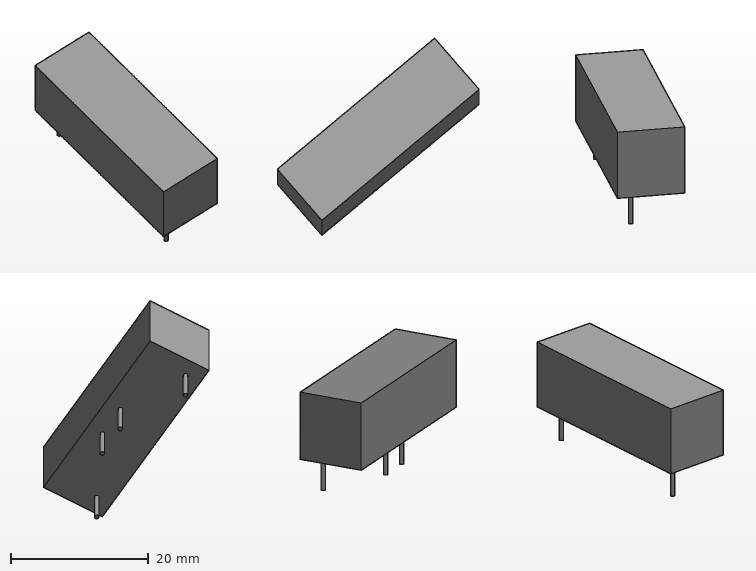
import cadquery as cq

housing_length = 30.0
housing_width = 10.0
housing_height = 10.4

pin_diameter = 0.65
pin_length = 5.1
inner_pin_offset = 2.52
outer_pin_offset = 12.48
pin_row_offset = 2.52

pin_places = [
    (-outer_pin_offset, -pin_row_offset),
    (outer_pin_offset, -pin_row_offset),
    (-inner_pin_offset, pin_row_offset),
    (inner_pin_offset, pin_row_offset),
]


def make_housing():
    return cq.Workplane("XY").box(
        housing_length, housing_width, housing_height, centered=(True, True, False)
    )


def make_pin(x, y):
    """One pin whose top face touches the underside of the housing."""
    return cq.Workplane("XY").center(x, y).circle(pin_diameter / 2).extrude(-pin_length)


housing = make_housing()
pins = [make_pin(x, y) for x, y in pin_places]

result = cq.Compound.makeCompound([housing.val(), *[pin.val() for pin in pins]])